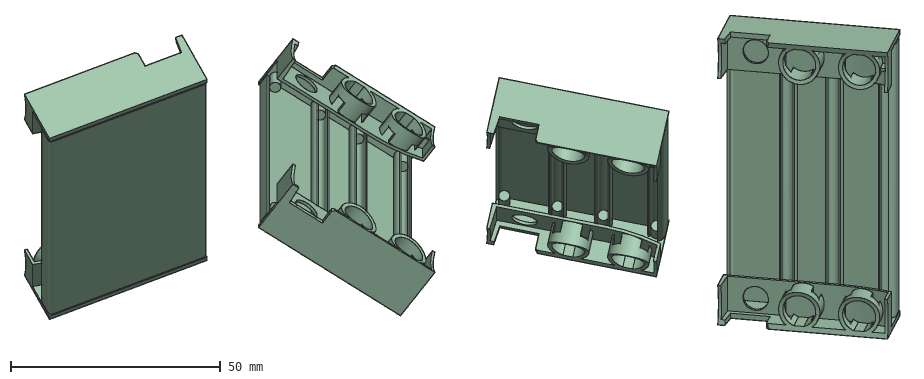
import cadquery as cq
import math

DEPTH = 14.3
WIDTH = 41.4
HEIGHT = 74.5

CAP_HEIGHT = 10.35
PLATE = 1.35
HOLLOW = 0.75
WALL_BACK = 6.55
WALL = 0.75
BEND_START = 13.85
BEND_OFFSET = 1.85
END_WALL = 0.75
END_WALL_ROOT = 1.2
WALL_FRONT = WALL_BACK - WALL
BEND_RADIUS = (BEND_START**2 + BEND_OFFSET**2) / (2 * BEND_OFFSET)
CAP_MID = CAP_HEIGHT / 2

NOTCH_DEPTH = 4.55
NOTCH_TOP = WIDTH - 1.7
NOTCH_TOP_ROOT = WIDTH - 2.2
NOTCH_BOTTOM = WIDTH - 11.8
NOTCH_CHAMFER = 0.7

BOSS_YS = (7.1, 21.7)
BOSS_DIAMETER = 10.05
BOSS_BORE = 8.05
SLOT_INNER = 2.45
SLOT_OUTER = 4.3
SLOT_FRONT = 3.0
HOLE_DIAMETER = 6.2
HOLE_Y = WIDTH - 8.05
RIB_FRONT = 1.5
RIB = 0.75

PIN_DIAMETER = 2.7
PIN_TOP = 6.55
PIN_X = 10.35
TUBE_RADIUS = 2.15
INNER_PIN_SPACING = 11.2
LOW_PIN_Y = TUBE_RADIUS
HIGH_PIN_Y = WIDTH - 2.1
INNER_PIN_YS = ((WIDTH - INNER_PIN_SPACING) / 2, (WIDTH + INNER_PIN_SPACING) / 2)
TUBE_YS = (LOW_PIN_Y, *INNER_PIN_YS)
PIN_YS = (*TUBE_YS, HIGH_PIN_Y)
PIN_RADIUS = PIN_DIAMETER / 2

PROFILE_GAP = 1.8
TUBE_LIP_X = 9.1
LOW_TUBE_LIP = 0.7
EDGE_FILLET = 0.8
SIDE_LIP_X = 10.8
SIDE_LIP = 0.75
PROFILE_LENGTH = HEIGHT - 2 * PROFILE_GAP
WEB_FRONT = PIN_X + PIN_RADIUS


def box(x, y, z):
    """Box from three (low, high) ranges."""
    return (
        cq.Workplane("XY")
        .box(x[1] - x[0], y[1] - y[0], z[1] - z[0], centered=False)
        .translate((x[0], y[0], z[0]))
    )


def rod_along_x(y, diameter, x_start, x_end):
    """Cylinder parallel to X at the mid height of a cap."""
    return (
        cq.Workplane("YZ", origin=(x_start, y, CAP_MID))
        .circle(diameter / 2)
        .extrude(x_end - x_start)
    )


def rod_along_z(y, radius, z_start, z_end):
    """Cylinder parallel to Z on the line of the pins."""
    return (
        cq.Workplane("XY", origin=(PIN_X, y, z_start))
        .circle(radius)
        .extrude(z_end - z_start)
    )


def end_plate():
    """Plate closing the end, with a notch in its front edge near +Y."""
    outline = [
        (0, 0),
        (DEPTH, 0),
        (DEPTH, WIDTH),
        (0, WIDTH),
        (0, NOTCH_TOP),
        (NOTCH_DEPTH, NOTCH_TOP_ROOT),
        (NOTCH_DEPTH, NOTCH_BOTTOM),
        (NOTCH_CHAMFER, NOTCH_BOTTOM),
        (0, NOTCH_BOTTOM - NOTCH_CHAMFER),
    ]
    return cq.Workplane("XY").polyline(outline).close().extrude(PLATE)


def wall_outline(x_straight):
    """Region in front of a surface that is straight at +Y and bends forward towards Y = 0."""
    bend_radius = BEND_RADIUS + x_straight - WALL_BACK

    def bend_x(y):
        return x_straight - bend_radius + math.sqrt(bend_radius**2 - (BEND_START - y)**2)

    return (
        cq.Workplane("XY")
        .moveTo(0, 0)
        .lineTo(bend_x(0), 0)
        .threePointArc((bend_x(BEND_START / 2), BEND_START / 2), (x_straight, BEND_START))
        .lineTo(x_straight, WIDTH)
        .lineTo(0, WIDTH)
        .close()
        .extrude(CAP_HEIGHT)
    )


def cap_walls():
    """Upright wall with its two end walls, open to the front."""
    outer = wall_outline(WALL_BACK)
    space = wall_outline(WALL_FRONT)
    between_end_walls = (
        cq.Workplane("XY")
        .polyline([
            (0, END_WALL),
            (WALL_BACK, END_WALL),
            (WALL_BACK, WIDTH - END_WALL_ROOT),
            (WALL_FRONT, WIDTH - END_WALL_ROOT),
            (0, WIDTH - END_WALL),
        ])
        .close()
        .extrude(CAP_HEIGHT)
    )
    return outer.cut(space.intersect(between_end_walls))


def bosses(envelope):
    """Hollow bosses with a pair of slots at the root, kept within the wall envelope."""
    group = None
    for y in BOSS_YS:
        boss = rod_along_x(y, BOSS_DIAMETER, 0, WALL_BACK)
        for side in (-1, 1):
            slot_ys = sorted((y + side * SLOT_INNER, y + side * SLOT_OUTER))
            boss = boss.cut(box((SLOT_FRONT, WALL_BACK), slot_ys, (0, CAP_HEIGHT)))
        boss = boss.cut(rod_along_x(y, BOSS_BORE, 0, WALL_BACK))
        group = boss if group is None else group.union(boss)
    return group.intersect(envelope)


def concave_front():
    """Cylinder along Y that hollows the front face by HOLLOW over the cap height."""
    radius = (CAP_MID**2 + HOLLOW**2) / (2 * HOLLOW)
    return (
        cq.Workplane("XZ", origin=(HOLLOW - radius, WIDTH, CAP_MID))
        .circle(radius)
        .extrude(WIDTH)
    )


def boss_rib():
    """Rib from the -Y boss to the nearby end wall."""
    rib_end = BOSS_YS[0] - (BOSS_DIAMETER + BOSS_BORE) / 4
    return box((RIB_FRONT, WALL_FRONT), (0, rib_end), (CAP_MID - RIB / 2, CAP_MID + RIB / 2))


def end_cap(with_rib):
    """Cap standing on Z = 0 with its pins pointing up."""
    envelope = wall_outline(WALL_BACK)
    cap = end_plate().union(cap_walls()).union(bosses(envelope))
    if with_rib:
        cap = cap.union(boss_rib().intersect(envelope))
    cap = cap.cut(concave_front())
    cap = cap.cut(rod_along_x(HOLE_Y, HOLE_DIAMETER, NOTCH_DEPTH, WALL_BACK))
    for y in PIN_YS:
        cap = cap.union(rod_along_z(y, PIN_RADIUS, 0, PIN_TOP))
    return cap


def side_lip():
    """Lip along the +Y side that runs into the web through a concave quarter round."""
    radius = WEB_FRONT - SIDE_LIP_X
    inner_y = WIDTH - SIDE_LIP
    diagonal = radius * (1 - math.sqrt(0.5))
    return (
        cq.Workplane("XY", origin=(0, 0, PROFILE_GAP))
        .moveTo(SIDE_LIP_X, WIDTH)
        .lineTo(SIDE_LIP_X, inner_y)
        .threePointArc((WEB_FRONT - diagonal, inner_y - diagonal), (WEB_FRONT, inner_y - radius))
        .lineTo(WEB_FRONT, WIDTH)
        .close()
        .extrude(PROFILE_LENGTH)
    )


def profile():
    """Extruded back panel with open tubes that receive the pins."""
    z = (PROFILE_GAP, PROFILE_GAP + PROFILE_LENGTH)

    web = box((WEB_FRONT, DEPTH), (0, WIDTH), z).edges(">X and |Z").fillet(EDGE_FILLET)
    low_side = box((PIN_X, WEB_FRONT), (0, TUBE_RADIUS), z)
    body = web.union(low_side).union(side_lip())

    for y in TUBE_YS:
        tube = rod_along_z(y, TUBE_RADIUS, *z)
        low_arm = LOW_TUBE_LIP if y == LOW_PIN_Y else TUBE_RADIUS
        mouth_low_y = y - low_arm
        mouth = box((PIN_X - TUBE_RADIUS, TUBE_LIP_X), (mouth_low_y, y + TUBE_RADIUS), z)
        slot_low_y = max(mouth_low_y, y - PIN_RADIUS)
        slot = box((PIN_X - TUBE_RADIUS, PIN_X), (slot_low_y, y + PIN_RADIUS), z)
        body = body.union(tube.cut(mouth).cut(slot))

    for y in PIN_YS:
        body = body.cut(rod_along_z(y, PIN_RADIUS, *z))
    return body


lower_cap = end_cap(with_rib=False)
upper_cap = end_cap(with_rib=True).mirror("XY").translate((0, 0, HEIGHT))
back_panel = profile()

result = cq.Compound.makeCompound([
    lower_cap.solids().val(),
    upper_cap.solids().val(),
    back_panel.solids().val(),
])